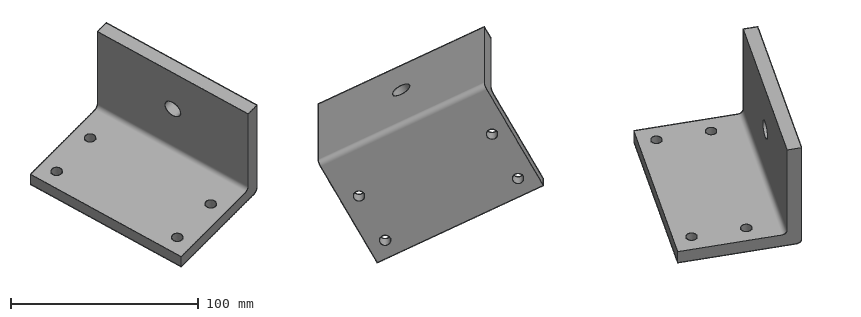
import cadquery as cq

length = 100.0
leg = 68.0
thickness = 8.0
inner_radius = 3.0
outer_radius = 3.0

mount_diameter = 6.0
mount_spacing_x = 80.0
mount_spacing_y = 30.0
mount_edge_distance = 10.0

wall_hole_diameter = 10.3
wall_hole_height = 39.4


def make_bracket():
    """L-shaped bracket, centred on X, with the upright wall at the +Y side."""
    profile = [
        (0, 0),
        (leg, 0),
        (leg, leg),
        (leg - thickness, leg),
        (leg - thickness, thickness),
        (0, thickness),
    ]
    body = cq.Workplane("YZ").polyline(profile).close().extrude(length / 2, both=True)
    inner_corner = cq.selectors.NearestToPointSelector((0, leg - thickness, thickness))
    body = body.edges(inner_corner).fillet(inner_radius)
    outer_corner = cq.selectors.NearestToPointSelector((0, leg, 0))
    return body.edges(outer_corner).fillet(outer_radius)


def make_mount_holes():
    """Cutters through the base at the corners of a rectangle."""
    center_y = mount_edge_distance + mount_spacing_y / 2
    return (
        cq.Workplane("XY")
        .center(0, center_y)
        .rect(mount_spacing_x, mount_spacing_y, forConstruction=True)
        .vertices()
        .circle(mount_diameter / 2)
        .extrude(thickness)
    )


def make_wall_hole():
    """Cutter along Y through the upright wall."""
    return (
        cq.Workplane("XZ")
        .center(0, wall_hole_height)
        .circle(wall_hole_diameter / 2)
        .extrude(-leg)
    )


result = make_bracket().cut(make_mount_holes()).cut(make_wall_hole())